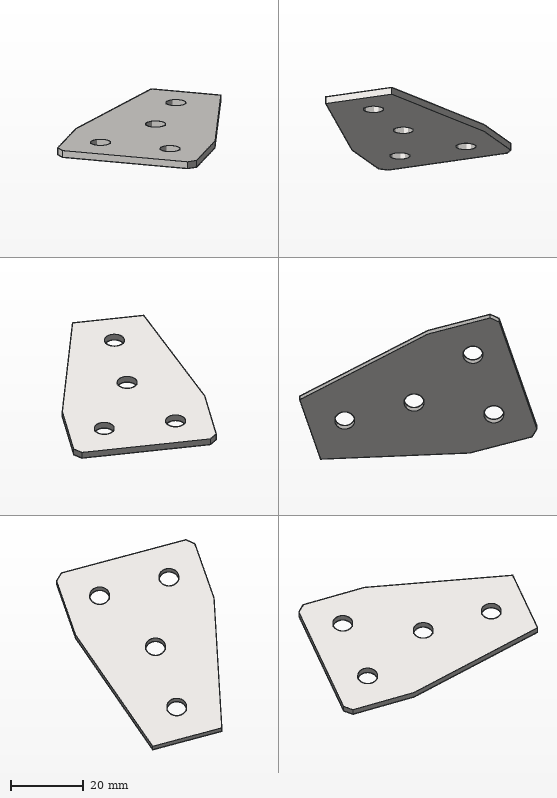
import cadquery as cq

module = 20.0
thickness = 2.0
hole_diameter = 5.5
corner_chamfer = 2.0

base_half_width = module
tip_half_width = module / 2
shoulder_y = module
length = 3 * module

base_hole_y = module / 2
hole_centres = [
    (-module / 2, base_hole_y),
    (module / 2, base_hole_y),
    (0, base_hole_y + module),
    (0, base_hole_y + 2 * module),
]


def tapered_plate():
    """Flat plate: straight-sided base with chamfered corners, tapering to the tip."""
    right_side = [
        (base_half_width - corner_chamfer, 0),
        (base_half_width, corner_chamfer),
        (base_half_width, shoulder_y),
        (tip_half_width, length),
    ]
    left_side = [(-x, y) for x, y in reversed(right_side)]
    return cq.Workplane("XY").polyline(right_side + left_side).close().extrude(thickness)


def bolt_holes():
    """Cylinders that cut the bolt holes through the full thickness."""
    return cq.Workplane("XY").pushPoints(hole_centres).circle(hole_diameter / 2).extrude(thickness)


result = tapered_plate().cut(bolt_holes())